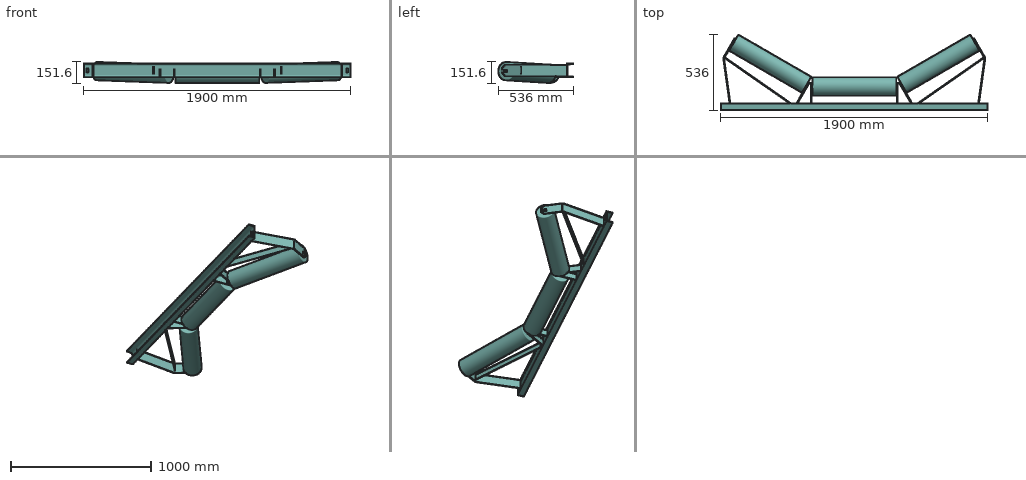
import cadquery as cq
import math

CHANNEL_LENGTH = 1900.0
CHANNEL_HEIGHT = 100.0
CHANNEL_DEPTH = 48.0
WEB_THICKNESS = 5.0
FLANGE_ROOT_THICKNESS = 10.0
FLANGE_TIP_THICKNESS = 6.6
CHANNEL_ROOT_RADIUS = 8.0
FLANGE_TOE_RADIUS = 4.0
MOUNT_SLOT_LENGTH = 30.0
MOUNT_SLOT_WIDTH = 17.0
MOUNT_SLOT_END_DISTANCE = 25.0
MID_HEIGHT = CHANNEL_HEIGHT / 2

ROLLER_LENGTH = 598.0
ROLLER_DIAMETER = 133.0
ROLLER_EDGE_FILLET = 4.0
SHAFT_RADIUS = 12.4
SHAFT_FLAT_WIDTH = 17.0
ROLLER_GAP = 4.0
ROLLER_AXIS_Z = 27.0
CENTRE_AXIS_Y = 120.0
WING_ANGLE = 30.0
WING_TILT = 1.8
WING_INNER_X = 340.0
WING_INNER_Y = 133.0

STRIP_THICKNESS = 8.0
OUTER_BRACKET_HEIGHT = 80.0
INNER_BRACKET_TOP_Y = 148.0
INNER_BRACKET_HEIGHT = 59.0
OUTER_FOOT_X = 890.0
OUTER_BEND_Y = 323.0
OUTER_BEND_RADIUS = 17.0
OUTER_ARM_TOP_Y = 460.0
ARM_CHAMFER = 25.0

STRUT_THICKNESS = 5.0
STRUT_HEIGHT = 50.0
STRUT_FOOT_X = 450.0
STRUT_TOP_Y = 330.0

TOLERANCE = 0.2

wing_cos = math.cos(math.radians(WING_ANGLE))
wing_sin = math.sin(math.radians(WING_ANGLE))
tilt_cos = math.cos(math.radians(WING_TILT))
tilt_sin = math.sin(math.radians(WING_TILT))

INNER_ARM_FACE = -ROLLER_GAP
OUTER_ARM_FACE = ROLLER_LENGTH * tilt_cos + ROLLER_GAP


def wing_point(distance, y):
    """Point at height y on the line square to the right wing at a distance along it."""
    foot_x = WING_INNER_X + distance * wing_cos
    foot_y = WING_INNER_Y + distance * wing_sin
    return (foot_x - (y - foot_y) * wing_sin / wing_cos, y)


def make_strip(outline, bottom, height):
    """Upright strip with the given plan outline."""
    return (
        cq.Workplane("XY", origin=(0, 0, bottom))
        .polyline(outline)
        .close()
        .extrude(height)
    )


def edges_at_y(y, flange_thickness):
    """Selector for the long edges at y between the outer faces of the two flanges."""
    return cq.selectors.BoxSelector(
        (-CHANNEL_LENGTH, y - TOLERANCE, flange_thickness / 2),
        (CHANNEL_LENGTH, y + TOLERANCE, CHANNEL_HEIGHT - flange_thickness / 2),
    )


def make_channel():
    outline = [
        (0, 0),
        (-CHANNEL_DEPTH, 0),
        (-CHANNEL_DEPTH, FLANGE_TIP_THICKNESS),
        (-WEB_THICKNESS, FLANGE_ROOT_THICKNESS),
        (-WEB_THICKNESS, CHANNEL_HEIGHT - FLANGE_ROOT_THICKNESS),
        (-CHANNEL_DEPTH, CHANNEL_HEIGHT - FLANGE_TIP_THICKNESS),
        (-CHANNEL_DEPTH, CHANNEL_HEIGHT),
        (0, CHANNEL_HEIGHT),
    ]
    channel = (
        cq.Workplane("YZ", origin=(-CHANNEL_LENGTH / 2, 0, 0))
        .polyline(outline)
        .close()
        .extrude(CHANNEL_LENGTH)
    )
    root_edges = edges_at_y(-WEB_THICKNESS, FLANGE_ROOT_THICKNESS)
    channel = channel.edges("|X").edges(root_edges).fillet(CHANNEL_ROOT_RADIUS)
    toe_edges = edges_at_y(-CHANNEL_DEPTH, FLANGE_TIP_THICKNESS)
    channel = channel.edges("|X").edges(toe_edges).fillet(FLANGE_TOE_RADIUS)

    slot_x = CHANNEL_LENGTH / 2 - MOUNT_SLOT_END_DISTANCE
    mount_slots = (
        cq.Workplane("XZ", origin=(0, 0, MID_HEIGHT))
        .pushPoints([(-slot_x, 0), (slot_x, 0)])
        .slot2D(MOUNT_SLOT_LENGTH, MOUNT_SLOT_WIDTH, 90)
        .extrude(CHANNEL_DEPTH)
    )
    return channel.cut(mount_slots)


def make_shaft():
    """Shaft along X, middle at the origin, with flats facing up and down."""
    length = ROLLER_LENGTH + 2 * (ROLLER_GAP + STRIP_THICKNESS)
    rod = cq.Workplane("YZ", origin=(-length / 2, 0, 0)).circle(SHAFT_RADIUS).extrude(length)
    flats = cq.Workplane("XY").box(length, 2 * SHAFT_RADIUS, SHAFT_FLAT_WIDTH)
    return rod.intersect(flats)


def make_roller():
    """Roller with its axis along X and its middle at the origin."""
    drum = (
        cq.Workplane("YZ", origin=(-ROLLER_LENGTH / 2, 0, 0))
        .circle(ROLLER_DIAMETER / 2)
        .extrude(ROLLER_LENGTH)
        .edges("%CIRCLE")
        .fillet(ROLLER_EDGE_FILLET)
    )
    return drum.union(make_shaft())


def place_in_centre(shape):
    return shape.translate((0, CENTRE_AXIS_Y, ROLLER_AXIS_Z))


def place_on_wing(shape):
    """Move a shape from the origin to the middle of the right wing roller."""
    half_length = ROLLER_LENGTH / 2
    middle = (
        WING_INNER_X + half_length * tilt_cos * wing_cos,
        WING_INNER_Y + half_length * tilt_cos * wing_sin,
        ROLLER_AXIS_Z + half_length * tilt_sin,
    )
    tilted = shape.rotate((0, 0, 0), (0, 1, 0), -WING_TILT)
    return tilted.rotate((0, 0, 0), (0, 0, 1), WING_ANGLE).translate(middle)


def make_inner_bracket():
    """Strip folded over between two rollers, holding one shaft end of each."""
    leg_x = ROLLER_LENGTH / 2 + ROLLER_GAP
    inside_top = INNER_BRACKET_TOP_Y - STRIP_THICKNESS
    outline = [
        (leg_x, 0),
        (leg_x, INNER_BRACKET_TOP_Y),
        wing_point(INNER_ARM_FACE, INNER_BRACKET_TOP_Y),
        wing_point(INNER_ARM_FACE, 0),
        wing_point(INNER_ARM_FACE - STRIP_THICKNESS, 0),
        wing_point(INNER_ARM_FACE - STRIP_THICKNESS, inside_top),
        (leg_x + STRIP_THICKNESS, inside_top),
        (leg_x + STRIP_THICKNESS, 0),
    ]
    bracket = make_strip(outline, 0, INNER_BRACKET_HEIGHT)
    return bracket.cut(place_in_centre(make_shaft())).cut(place_on_wing(make_shaft()))


def make_outer_bracket():
    """Bent strip: a leg up from the channel and an arm square to the wing roller."""
    outer_face = OUTER_ARM_FACE + STRIP_THICKNESS
    bend_x, bend_y = wing_point(outer_face, OUTER_BEND_Y)
    tip_x, tip_y = wing_point(OUTER_ARM_FACE, OUTER_ARM_TOP_Y)
    arm_length = math.hypot(tip_x - bend_x, tip_y - bend_y)

    arm_angle = math.radians(WING_ANGLE)
    leg_angle = math.atan2(bend_x - OUTER_FOOT_X, bend_y)
    mitre_length = STRIP_THICKNESS / math.cos((arm_angle + leg_angle) / 2)
    mitre_angle = (arm_angle - leg_angle) / 2
    inside_bend = (
        bend_x - mitre_length * math.cos(mitre_angle),
        bend_y - mitre_length * math.sin(mitre_angle),
    )
    outline = [
        (OUTER_FOOT_X, 0),
        (bend_x, bend_y),
        (tip_x + STRIP_THICKNESS * wing_cos, tip_y + STRIP_THICKNESS * wing_sin),
        (tip_x, tip_y),
        inside_bend,
        (OUTER_FOOT_X - STRIP_THICKNESS / math.cos(leg_angle), 0),
    ]
    bracket = make_strip(outline, MID_HEIGHT - OUTER_BRACKET_HEIGHT / 2, OUTER_BRACKET_HEIGHT)
    inside_edge = cq.selectors.NearestToPointSelector((*inside_bend, MID_HEIGHT))
    bracket = bracket.edges("|Z").edges(inside_edge).fillet(OUTER_BEND_RADIUS - STRIP_THICKNESS)
    bracket = bracket.edges("|Z and >X").fillet(OUTER_BEND_RADIUS)

    along_wing = cq.selectors.ParallelDirSelector(cq.Vector(wing_cos, wing_sin, 0))
    bracket = bracket.edges(along_wing).chamfer(ARM_CHAMFER)

    open_slot = cq.Workplane("XY").box(
        2 * ROLLER_LENGTH, arm_length, SHAFT_FLAT_WIDTH, centered=(True, False, True)
    )
    return bracket.cut(place_on_wing(open_slot)).cut(place_on_wing(make_shaft()))


def make_strut(outer_bracket):
    """Flat bar from the channel up to the bend of the outer bracket."""
    end_x, end_y = wing_point(OUTER_ARM_FACE + STRIP_THICKNESS / 2, STRUT_TOP_Y)
    slope = math.atan2(end_y, end_x - STRUT_FOOT_X)
    outline = [
        (STRUT_FOOT_X, 0),
        (end_x, end_y),
        (end_x, end_y - STRUT_THICKNESS / math.cos(slope)),
        (STRUT_FOOT_X + STRUT_THICKNESS / math.sin(slope), 0),
    ]
    bar = make_strip(outline, MID_HEIGHT - STRUT_HEIGHT / 2, STRUT_HEIGHT)
    return bar.cut(outer_bracket)


channel = make_channel()
centre_roller = place_in_centre(make_roller())
outer_bracket = make_outer_bracket()

right_side = [
    place_on_wing(make_roller()),
    make_inner_bracket(),
    outer_bracket,
    make_strut(outer_bracket),
]
left_side = [body.mirror("YZ") for body in right_side]

bodies = [channel, centre_roller] + right_side + left_side
result = cq.Compound.makeCompound([body.val() for body in bodies])